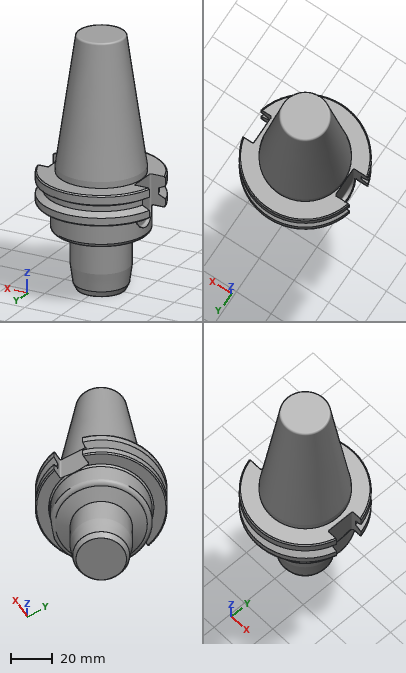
import cadquery as cq

total_height = 131.8

tip_radius = 12.1
nose_radius = 13.7
nose_start = 3.2
collar_radius = 30.0 / 2
collar_start = 12.6
collar_end = 27.5

body_radius = 24.5
shoulder_radius = 22.1
shoulder_height = 30.5
body_start = 32.4
body_end = 43.6
neck_flare = 0.8

flange_radius = 31.8
flange_bottom = 44.7
flange_top = 60.6
flange_chamfer = 0.7
groove_radius = 28.0
groove_bottom = 51.0
groove_top = 53.9
lower_rim_top = 49.0
upper_rim_bottom = 55.9

shank_radius = 44.4 / 2
taper_start = 63.8
taper_slope = 7 / 48
top_round = 1.0

slot_width = 16.1
slot_end_height = 36.2
left_floor = 22.5
right_floor = 24.6
slot_fillet = 0.8

flat_angle = 22.2
flat_distance = 23.7
flat_top = 44.3


def make_turned_body():
    """Revolve the half profile around Z."""
    top_radius = shank_radius - taper_slope * (total_height - taper_start)
    rim_edge = flange_radius - flange_chamfer
    shoulder_bow = 0.4
    shoulder_middle = (
        (shoulder_radius + body_radius) / 2 + shoulder_bow,
        (shoulder_height + body_start) / 2 - shoulder_bow,
    )
    profile = (
        cq.Workplane("XZ")
        .lineTo(tip_radius, 0)
        .lineTo(nose_radius, nose_start)
        .lineTo(collar_radius, collar_start)
        .lineTo(collar_radius, collar_end)
        .lineTo(shoulder_radius, shoulder_height)
        .threePointArc(shoulder_middle, (body_radius, body_start))
        .lineTo(body_radius, body_end)
        .lineTo(body_radius + neck_flare, flange_bottom)
        .lineTo(rim_edge, flange_bottom)
        .lineTo(flange_radius, flange_bottom + flange_chamfer)
        .lineTo(flange_radius, lower_rim_top)
        .lineTo(groove_radius, groove_bottom)
        .lineTo(groove_radius, groove_top)
        .lineTo(flange_radius, upper_rim_bottom)
        .lineTo(flange_radius, flange_top - flange_chamfer)
        .lineTo(rim_edge, flange_top)
        .lineTo(shank_radius, flange_top)
        .lineTo(shank_radius, taper_start)
        .lineTo(top_radius, total_height)
        .lineTo(0, total_height)
        .close()
    )
    return profile.revolve(360, (0, 0), (0, 1)).faces(">Z").edges().fillet(top_round)


def make_slot_cutter(side, floor):
    """U-shaped slot on the side -1 (-X) or +1 (+X), rounded along its floor edge."""
    half_width = slot_width / 2
    arc_center = slot_end_height + half_width
    cutter = (
        cq.Workplane("YZ", origin=(floor, 0, 0))
        .moveTo(-half_width, flange_top)
        .lineTo(-half_width, arc_center)
        .threePointArc((0, slot_end_height), (half_width, arc_center))
        .lineTo(half_width, flange_top)
        .close()
        .extrude(flange_radius)
    )
    floor_edges = cutter.faces("<X").edges("not(>Z)")
    cutter = floor_edges.fillet(slot_fillet)
    return cutter if side > 0 else cutter.mirror("YZ")


def make_flat_cutter():
    """Block whose inner face is the flat, reaching from the shoulder to the flange."""
    height = flat_top - collar_end
    depth = flange_radius - flat_distance
    return (
        cq.Workplane("XY", origin=(0, 0, collar_end))
        .center(0, -flat_distance - depth / 2)
        .rect(2 * flange_radius, depth)
        .extrude(height)
        .rotate((0, 0, 0), (0, 0, 1), flat_angle)
    )


result = (
    make_turned_body()
    .cut(make_slot_cutter(-1, left_floor))
    .cut(make_slot_cutter(1, right_floor))
    .cut(make_flat_cutter())
)